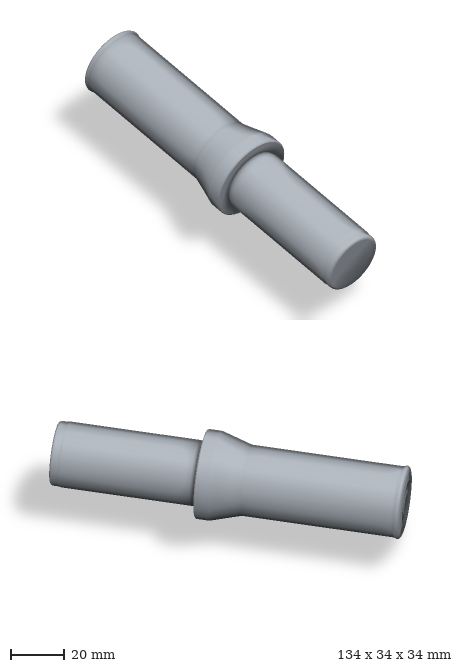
import cadquery as cq
import math

total_length = 134.0

grip_radius = 27.0 / 2
lip_radius = 14.0
lip_crest_x = 1.6
lip_end = 2.8

dimple_depth = 0.5
dimple_radius = 4.3
groove_depth = 0.7
groove_radius = 6.5
face_ridge_radius = 8.7
face_edge = (0.3, 12.3)
lip_round_start = (0.5, 13.1)

flange_radius = 34.0 / 2
flange_end = 78.0
flange_chamfer = 0.4
cone_start = 60.2
cone_angle = math.radians(16.7)
root_blend_length = 1.2
crest_blend_length = 0.8

rim_radius = 24.5 / 2
collar_radius = 12.0
collar_end = 78.8
spindle_radius = 10.0
cap_start = 131.0
cap_round = 1.2

sleeve_radius = 24.9 / 2
rim_width = 0.4
rim_taper_length = 0.8


def turn(profile):
    """Revolve an XY half profile about the X axis."""
    return profile.close().revolve(360, (0, 0, 0), (1, 0, 0))


def make_core():
    """Grip, flange, spindle and end cap as one turned solid."""
    blend_slope = math.tan(cone_angle / 2)
    root_x = cone_start + root_blend_length
    root_radius = grip_radius + root_blend_length * blend_slope
    crest_radius = flange_radius - crest_blend_length * blend_slope
    crest_x = root_x + (crest_radius - root_radius) / math.tan(cone_angle)

    profile = (
        cq.Workplane("XY")
        .moveTo(dimple_depth, 0)
        .lineTo(0, dimple_radius)
        .lineTo(groove_depth, groove_radius)
        .lineTo(0, face_ridge_radius)
        .lineTo(*face_edge)
        .lineTo(*lip_round_start)
        .tangentArcPoint((lip_crest_x, lip_radius), relative=False)
        .lineTo(lip_end, grip_radius)
        .lineTo(cone_start, grip_radius)
        .tangentArcPoint((root_x, root_radius), relative=False)
        .lineTo(crest_x, crest_radius)
        .tangentArcPoint((crest_x + crest_blend_length, flange_radius), relative=False)
        .lineTo(flange_end - flange_chamfer, flange_radius)
        .lineTo(flange_end, flange_radius - flange_chamfer)
        .lineTo(flange_end, collar_radius)
        .lineTo(collar_end, collar_radius)
        .lineTo(collar_end, spindle_radius)
        .lineTo(cap_start, spindle_radius)
        .lineTo(cap_start, rim_radius)
        .lineTo(total_length - cap_round, rim_radius)
        .tangentArcPoint((total_length, rim_radius - cap_round), relative=False)
        .lineTo(total_length, 0)
    )
    return turn(profile)


def make_sleeve():
    """Tube around the spindle, tapering to a narrow rim at both ends."""
    taper_end = rim_width + rim_taper_length
    profile = (
        cq.Workplane("XY")
        .moveTo(collar_end, spindle_radius)
        .lineTo(collar_end, rim_radius)
        .lineTo(collar_end + rim_width, rim_radius)
        .lineTo(collar_end + taper_end, sleeve_radius)
        .lineTo(cap_start - taper_end, sleeve_radius)
        .lineTo(cap_start - rim_width, rim_radius)
        .lineTo(cap_start, rim_radius)
        .lineTo(cap_start, spindle_radius)
    )
    return turn(profile)


core = make_core()
sleeve = make_sleeve()
result = cq.Compound.makeCompound([core.val(), sleeve.val()])